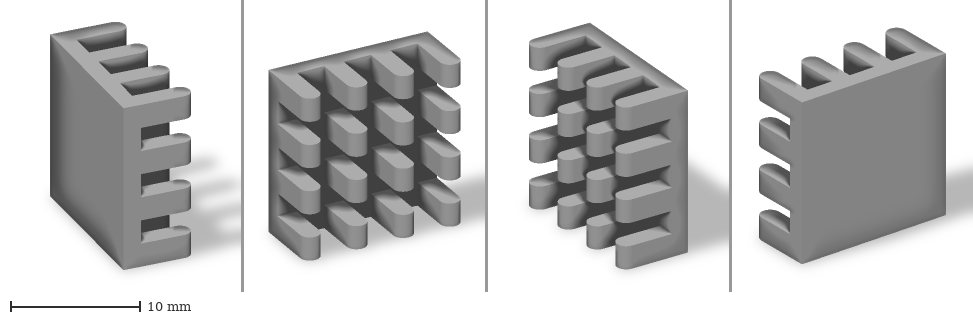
import cadquery as cq

side = 14.0
total_depth = 6.0
base_thickness = 1.5

fins_per_side = 4
fin_width = 1.7
fin_height = side / (2 * fins_per_side - 1)
tip_radius = fin_width / 2
pitch_x = (side - fin_width) / (fins_per_side - 1)
pitch_z = (side - fin_height) / (fins_per_side - 1)

back_y = -total_depth / 2
tip_y = total_depth / 2
tip_start_y = tip_y - tip_radius


def make_base():
    return cq.Workplane("XY").box(side, base_thickness, side).translate((0, back_y + base_thickness / 2, 0))


def make_fin(center_x, center_z):
    """One fin, rooted in the back of the plate and ending in a half-round tip."""
    left = center_x - fin_width / 2
    right = center_x + fin_width / 2
    return (
        cq.Workplane("XY", origin=(0, 0, center_z - fin_height / 2))
        .moveTo(left, back_y)
        .lineTo(right, back_y)
        .lineTo(right, tip_start_y)
        .threePointArc((center_x, tip_y), (left, tip_start_y))
        .close()
        .extrude(fin_height)
    )


result = make_base()
for column in range(fins_per_side):
    for row in range(fins_per_side):
        fin_x = (column - (fins_per_side - 1) / 2) * pitch_x
        fin_z = (row - (fins_per_side - 1) / 2) * pitch_z
        result = result.union(make_fin(fin_x, fin_z))
result = result.clean()